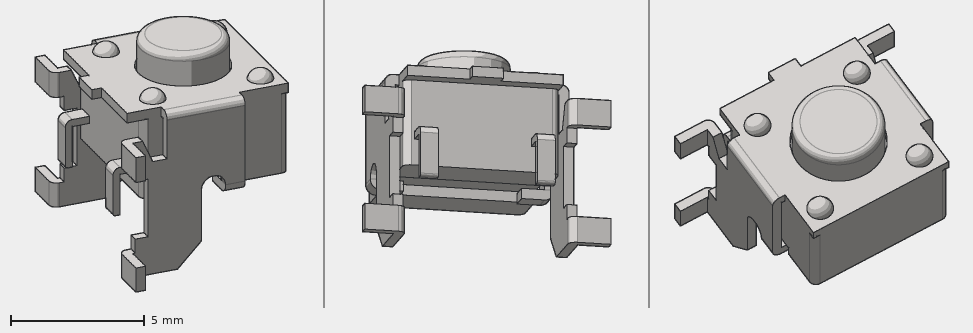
import cadquery as cq
import math


sheet = 0.4
bend_radius = 0.3
cover_half_width = 3.0
cover_back = 3.0
terminal_front = -4.0
terminal_back = terminal_front + sheet
locating_tab_width = 1.2

terminal_half_span = 4.75
wall_outer = 3.55
wall_inner = wall_outer - sheet
wall_back = 1.0
wall_front = -2.2
wall_bottom = -6.6
notch_floor = -1.92
notch_front = -2.78
upper_terminal_back = -3.2
upper_terminal_top = -1.0
upper_terminal_bottom = -2.03
lower_terminal_top = -5.6
terminal_neck = -3.51
cutback_front = -2.98
cutback_top = -2.62
cutback_bottom = -5.02
leg_chamfer_front = -1.78
leg_chamfer_top = -5.605

foot_front = 0.2
foot_bottom = -3.85
foot_end = 2.28
foot_bend_radius = 0.39
foot_top = foot_bottom + sheet
relief_width = 0.99
relief_top = -2.99
leg_back = foot_front - relief_width

housing_half = 3.0
housing_corner_radius = 0.285
housing_top = -sheet
housing_bottom = -3.705
channel_top = -3.3
channel_half_width = 1.235

button_diameter = 3.5
button_height = 1.3
button_edge_radius = 0.3
button_hole_diameter = 3.65
rivet_radius = 0.5
rivet_height = 0.4
rivet_spacing = 4.41

pin_thickness = 0.29
pin_width = 0.69
pin_spacing = 4.5
pin_top = -2.4
pin_bottom = -4.39
pin_bend_radius = 0.285
pin_tip_radius = 0.1


def block(x_range, y_range, z_range):
    """Box between the given limits on each axis."""
    limits = (x_range, y_range, z_range)
    size = [high - low for low, high in limits]
    corner = tuple(low for low, high in limits)
    return cq.Workplane("XY").box(*size, centered=False).translate(corner)


def make_housing():
    height = housing_top - housing_bottom
    body = (
        cq.Workplane("XY", origin=(0, 0, housing_bottom))
        .rect(2 * housing_half, 2 * housing_half)
        .extrude(height)
        .edges("|Z")
        .fillet(housing_corner_radius)
    )
    channel = block(
        (-housing_half, housing_half),
        (-channel_half_width, channel_half_width),
        (housing_bottom, channel_top),
    )
    return body.cut(channel)


def make_cover_plate():
    thickness = (-sheet, 0)
    plate = block((-cover_half_width, cover_half_width), (terminal_back, cover_back), thickness)
    side_strip = block((-wall_inner, wall_inner), (wall_front, wall_back), thickness)
    half_tab = locating_tab_width / 2
    tab = block((-half_tab, half_tab), (terminal_front, terminal_back), thickness)
    hole = cq.Workplane("XY").circle(button_hole_diameter / 2).extrude(-sheet)
    return plate.union(side_strip).union(tab).cut(hole)


def make_terminal(bottom, top):
    """Solder terminal turned outward from the front of the +X wall."""
    terminal = block((wall_inner, terminal_half_span), (terminal_front, terminal_back), (bottom, top))
    return terminal.edges("|Z and <X and <Y").fillet(bend_radius)


def make_side_wall():
    """The +X wall with its foot and its two terminals."""
    wall = (
        cq.Workplane("YZ", origin=(wall_inner, 0, 0))
        .moveTo(wall_back, 0)
        .lineTo(wall_front, 0)
        .lineTo(wall_front, notch_floor)
        .lineTo(notch_front, notch_floor)
        .lineTo(upper_terminal_back, upper_terminal_top)
        .lineTo(terminal_back, upper_terminal_top)
        .lineTo(terminal_back, upper_terminal_bottom)
        .lineTo(terminal_neck, upper_terminal_bottom)
        .lineTo(terminal_neck, cutback_top)
        .lineTo(cutback_front, cutback_top)
        .lineTo(cutback_front, cutback_bottom)
        .lineTo(terminal_neck, cutback_bottom)
        .lineTo(terminal_neck, lower_terminal_top)
        .lineTo(terminal_back, lower_terminal_top)
        .lineTo(terminal_back, wall_bottom)
        .lineTo(leg_chamfer_front, wall_bottom)
        .lineTo(leg_back, leg_chamfer_top)
        .lineTo(leg_back, foot_top)
        .threePointArc((foot_front - relief_width / 2, relief_top), (foot_front, foot_top))
        .lineTo(wall_back, foot_top)
        .close()
        .extrude(sheet)
        .edges("|Y and >X and >Z")
        .fillet(bend_radius)
    )
    foot = (
        block((foot_end, wall_outer), (foot_front, wall_back), (foot_bottom, foot_top))
        .edges("|Y and >X and <Z")
        .fillet(foot_bend_radius)
    )
    upper_terminal = make_terminal(upper_terminal_bottom, upper_terminal_top)
    lower_terminal = make_terminal(wall_bottom, lower_terminal_top)
    return wall.union(foot).union(upper_terminal).union(lower_terminal)


def make_button():
    return (
        cq.Workplane("XY", origin=(0, 0, housing_top))
        .circle(button_diameter / 2)
        .extrude(button_height - housing_top)
        .faces(">Z")
        .edges()
        .fillet(button_edge_radius)
    )


def make_rivet_heads():
    """Four shallow domes on the top face of the cover."""
    sphere_radius = (rivet_radius**2 + rivet_height**2) / (2 * rivet_height)
    half_angle = math.asin(rivet_radius / sphere_radius) / 2
    arc_middle = (
        sphere_radius * math.sin(half_angle),
        rivet_height - sphere_radius * (1 - math.cos(half_angle)),
    )
    dome = (
        cq.Workplane("XZ")
        .lineTo(rivet_radius, 0)
        .threePointArc(arc_middle, (0, rivet_height))
        .close()
        .revolve(360, (0, 0), (0, 1))
    )
    places = cq.Workplane("XY").rect(rivet_spacing, rivet_spacing, forConstruction=True).vertices()
    return places.eachpoint(dome.val())


def make_pin(center_x):
    """Pin that leaves the housing front and turns down."""
    sides = (center_x - pin_width / 2, center_x + pin_width / 2)
    outer = block(sides, (terminal_front, -housing_half), (pin_bottom, pin_top))
    outer = outer.edges("|X and <Y and >Z").fillet(pin_bend_radius)
    outer = outer.edges("|X and <Y and <Z").fillet(pin_tip_radius)
    inside = block(
        sides,
        (terminal_front + pin_thickness, -housing_half),
        (pin_bottom, pin_top - pin_thickness),
    )
    return outer.cut(inside)


side_wall = make_side_wall()
result = (
    make_housing()
    .union(make_cover_plate())
    .union(side_wall)
    .union(side_wall.mirror("YZ"))
    .union(make_button())
    .union(make_rivet_heads())
)
for pin_x in (-pin_spacing / 2, pin_spacing / 2):
    result = result.union(make_pin(pin_x))